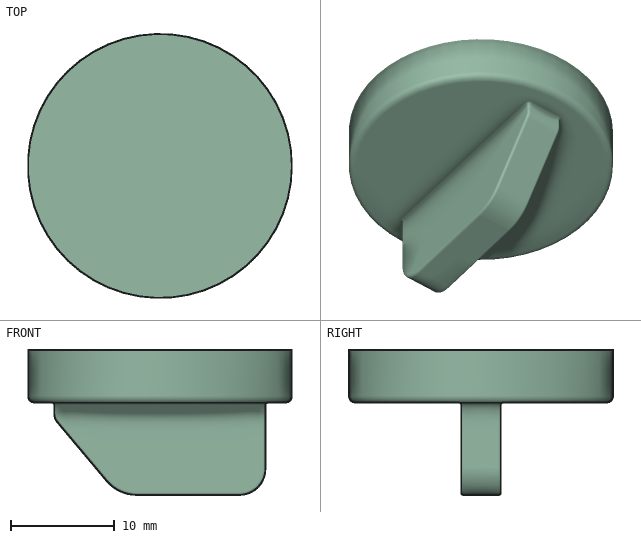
import cadquery as cq
import math

head_diameter = 25.4
head_height = 5.08
head_rim_radius = 0.64

fin_length = 20.32
fin_thickness = 3.8
fin_depth = 8.9
short_side_depth = 1.52
slope_angle = 50
short_side_corner_radius = 1.27
slope_foot_radius = 3.8
square_corner_radius = 2.55
fin_edge_radius = 0.25
root_fillet_radius = 0.23


def make_head():
    head = cq.Workplane("XY").circle(head_diameter / 2).extrude(head_height)
    return head.faces("<Z").edges().fillet(head_rim_radius)


def make_fin():
    half_length = fin_length / 2
    slope_run = (fin_depth - short_side_depth) / math.tan(math.radians(slope_angle))
    slope_foot_x = slope_run - half_length
    overlap = head_height / 2

    fin = (
        cq.Workplane("XZ")
        .moveTo(-half_length, overlap)
        .lineTo(-half_length, -short_side_depth)
        .lineTo(slope_foot_x, -fin_depth)
        .lineTo(half_length, -fin_depth)
        .lineTo(half_length, overlap)
        .close()
        .extrude(fin_thickness / 2, both=True)
    )

    corners = [
        (-half_length, -short_side_depth, short_side_corner_radius),
        (slope_foot_x, -fin_depth, slope_foot_radius),
        (half_length, -fin_depth, square_corner_radius),
    ]
    for x, z, radius in corners:
        corner_edge = cq.selectors.NearestToPointSelector((x, 0, z))
        fin = fin.edges("|Y").edges(corner_edge).fillet(radius)

    return fin.faces("<Y or >Y").edges("not >Z").fillet(fin_edge_radius)


def fillet_root(body):
    """Blend the fin into the underside of the head."""
    margin = fin_edge_radius
    root_zone = cq.selectors.BoxSelector(
        (-fin_length / 2 - margin, -fin_thickness / 2 - margin, -margin),
        (fin_length / 2 + margin, fin_thickness / 2 + margin, margin),
    )
    return body.faces("|Z").edges(root_zone).fillet(root_fillet_radius)


result = fillet_root(make_head().union(make_fin()))